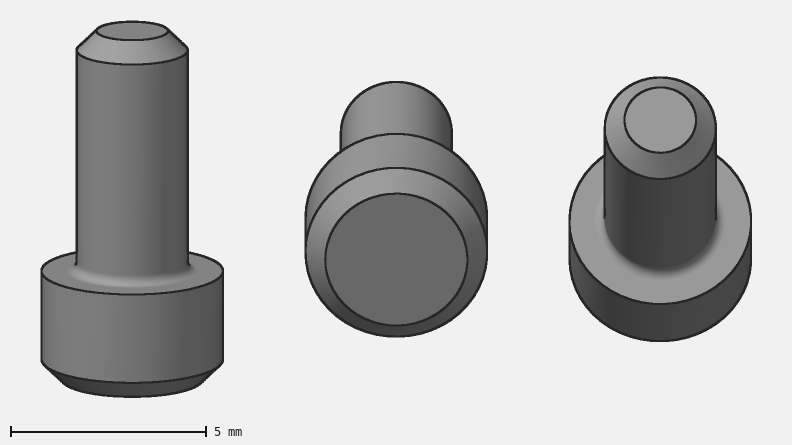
import cadquery as cq

INCH = 25.4
thread_diameter = 0.112 * INCH
head_diameter = 0.183 * INCH
head_height = thread_diameter
shank_length = 0.25 * INCH
head_chamfer = 0.02 * INCH
tip_chamfer = 0.02 * INCH
neck_fillet = 0.25


def make_head():
    """Cylindrical head with its outer end chamfered."""
    head = cq.Workplane("XY").circle(head_diameter / 2).extrude(head_height)
    return head.faces("<Z").edges().chamfer(head_chamfer)


def make_shank():
    """Plain shank with a chamfered tip, rising from the head."""
    shank = (
        cq.Workplane("XY")
        .workplane(offset=head_height)
        .circle(thread_diameter / 2)
        .extrude(shank_length)
    )
    return shank.faces(">Z").edges().chamfer(tip_chamfer)


def fillet_neck(screw):
    """Round the inner corner where the shank meets the head."""
    reach = thread_diameter / 2 + neck_fillet
    half_band = neck_fillet / 2
    neck_edge = cq.selectors.BoxSelector(
        (-reach, -reach, head_height - half_band),
        (reach, reach, head_height + half_band),
        boundingbox=True,
    )
    return screw.edges(neck_edge).fillet(neck_fillet)


result = fillet_neck(make_head().union(make_shank()))